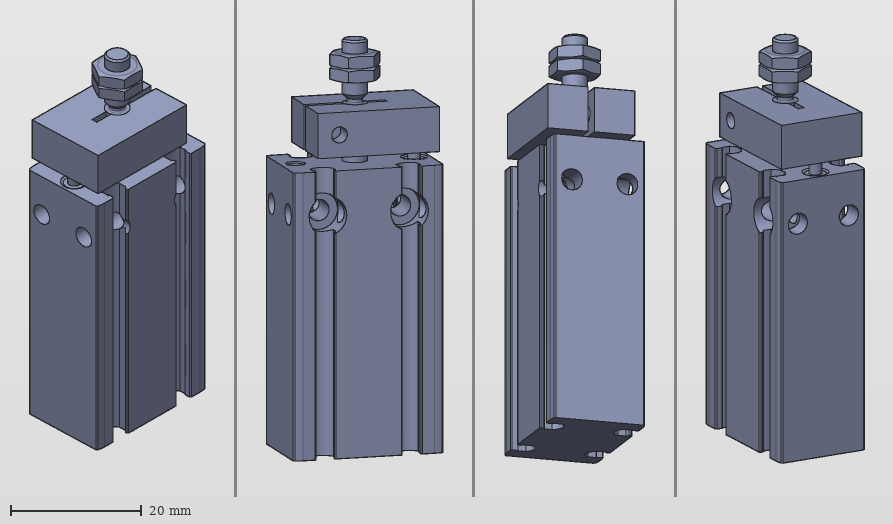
import cadquery as cq
import math


total_height = 64
housing_height = 45.0
plate_bottom = 47.0
plate_top = 54.0
nuts_top = 61.95
nut_thickness = 2.2

housing_width = 15.0
housing_length = 24.0
corner_chamfer = 0.25
side_arc_radius = 5.0
side_arc_start = 10.5
mount_z = 38.0
mount_hole_diameter = 3.3
front_hole_x = 4.5
side_hole_y = 6.5
side_counterbore_diameter = 6.0
side_counterbore_depth = 5.0

channel_y = 6.9
channel_mouth_width = 3.0
channel_mouth_chamfer = 0.2
channel_inner_lip = 0.5
channel_outer_lip = 1.15
channel_outer_undercut = 0.2
channel_inner_undercut = 0.4
channel_bore_diameter = 4.15
channel_bore_depth = 1.3

guide_y = 9.5
guide_rod_diameter = 2.0
countersink_depth = 0.2
front_countersink_diameter = 4.15
front_countersink_floor = 3.4
back_countersink_diameter = 3.0
back_countersink_floor = 2.5
guide_rod_bottom = 25.0
guide_plate_depth = 3.5

rod_diameter = 4.0
rod_bottom = 25.0
rod_tip_chamfer = 0.3
neck_diameter = 2.4
neck_fillet = 0.2
thread_bottom = 55.5

plate_width = 14.1
plate_front_y = -11.45
plate_back_y = 8.0
slot_width = 1.0
slot_front_y = -5.0

screw_diameter = 2.5
screw_y = 4.55
screw_z = (plate_bottom + plate_top) / 2
screw_recess = 3.5

nut_count = 2
nut_sides = 6
nut_across_flats = 7.0
nut_face_diameter = 6.0
nut_chamfer_angle = 15


def vertical_cylinder(diameter, bottom, top, y=0):
    return cq.Workplane("XY", origin=(0, y, bottom)).circle(diameter / 2).extrude(top - bottom)


def housing_blank():
    """Rectangular column whose long sides curve inward near the chamfered corners."""
    half_width = housing_width / 2
    half_length = housing_length / 2
    chamfer_y = half_length - corner_chamfer

    def arc_x(y):
        run = y - side_arc_start
        return half_width - side_arc_radius + math.sqrt(side_arc_radius**2 - run**2)

    arc_middle_y = (side_arc_start + chamfer_y) / 2
    arc_middle_x = arc_x(arc_middle_y)
    arc_end_x = arc_x(chamfer_y)
    end_x = arc_end_x - corner_chamfer
    return (
        cq.Workplane("XY")
        .moveTo(half_width, -side_arc_start)
        .lineTo(half_width, side_arc_start)
        .threePointArc((arc_middle_x, arc_middle_y), (arc_end_x, chamfer_y))
        .lineTo(end_x, half_length)
        .lineTo(-end_x, half_length)
        .lineTo(-arc_end_x, chamfer_y)
        .threePointArc((-arc_middle_x, arc_middle_y), (-half_width, side_arc_start))
        .lineTo(-half_width, -side_arc_start)
        .threePointArc((-arc_middle_x, -arc_middle_y), (-arc_end_x, -chamfer_y))
        .lineTo(-end_x, -half_length)
        .lineTo(end_x, -half_length)
        .lineTo(arc_end_x, -chamfer_y)
        .threePointArc((arc_middle_x, -arc_middle_y), (half_width, -side_arc_start))
        .close()
        .extrude(housing_height)
    )


def sensor_channel():
    """Channel in the -X, +Y place, with a lip on both sides of its mouth and a round bottom."""
    half_mouth = channel_mouth_width / 2
    half_entry = half_mouth + channel_mouth_chamfer
    radius = channel_bore_diameter / 2
    outer_wall = half_mouth + channel_outer_undercut
    inner_wall = half_mouth + channel_inner_undercut
    outer_wall_end = channel_bore_depth + math.sqrt(radius**2 - outer_wall**2)
    inner_wall_end = channel_bore_depth + math.sqrt(radius**2 - inner_wall**2)
    return (
        cq.Workplane("XY", origin=(-housing_width / 2, channel_y, 0))
        .moveTo(0, half_entry)
        .lineTo(channel_mouth_chamfer, half_mouth)
        .lineTo(channel_outer_lip, half_mouth)
        .lineTo(channel_outer_lip, outer_wall)
        .lineTo(outer_wall_end, outer_wall)
        .threePointArc((channel_bore_depth + radius, 0), (inner_wall_end, -inner_wall))
        .lineTo(channel_inner_lip + channel_inner_undercut, -inner_wall)
        .lineTo(channel_inner_lip, -half_mouth)
        .lineTo(channel_mouth_chamfer, -half_mouth)
        .lineTo(0, -half_entry)
        .close()
        .extrude(housing_height)
    )


def cut_sensor_channels(housing):
    channel = sensor_channel()
    far_channel = channel.mirror("YZ")
    for half in (channel, far_channel):
        housing = housing.cut(half).cut(half.mirror("XZ"))
    return housing


def countersink(rim_diameter, floor_diameter, y):
    """Shallow flat-bottomed recess with a conical wall in the top of the housing."""
    base = cq.Vector(0, y, housing_height - countersink_depth)
    return cq.Workplane(cq.Solid.makeCone(floor_diameter / 2, rim_diameter / 2, countersink_depth, base))


def cut_mounting_holes(housing):
    """Counterbored holes along X and plain holes along Y, which cross near the housing top."""
    for y in (-side_hole_y, side_hole_y):
        side_face = cq.Workplane("YZ", origin=(-housing_width / 2, y, mount_z))
        housing = housing.cut(side_face.circle(mount_hole_diameter / 2).extrude(housing_width))
        housing = housing.cut(side_face.circle(side_counterbore_diameter / 2).extrude(side_counterbore_depth))
    for x in (-front_hole_x, front_hole_x):
        back_face = cq.Workplane("XZ", origin=(x, housing_length / 2, mount_z))
        housing = housing.cut(back_face.circle(mount_hole_diameter / 2).extrude(housing_length))
    return housing


def make_housing(piston_rod, guide_rod):
    housing = cut_sensor_channels(housing_blank())
    housing = cut_mounting_holes(housing)
    housing = housing.cut(countersink(front_countersink_diameter, front_countersink_floor, -guide_y))
    housing = housing.cut(countersink(back_countersink_diameter, back_countersink_floor, guide_y))
    return housing.cut(piston_rod).cut(guide_rod)


def make_piston_rod():
    """Rod with a shoulder at the plate top, a filleted neck and a threaded end."""
    radius = rod_diameter / 2
    neck_radius = neck_diameter / 2
    neck_top = thread_bottom - (radius - neck_radius)
    fillet_middle = neck_fillet * (1 - math.sqrt(0.5))
    profile = (
        cq.Workplane("XZ")
        .moveTo(0, rod_bottom)
        .lineTo(radius, rod_bottom)
        .lineTo(radius, plate_top)
        .lineTo(neck_radius + neck_fillet, plate_top)
        .threePointArc(
            (neck_radius + fillet_middle, plate_top + fillet_middle),
            (neck_radius, plate_top + neck_fillet),
        )
        .lineTo(neck_radius, neck_top)
        .lineTo(radius, thread_bottom)
        .lineTo(radius, total_height - rod_tip_chamfer)
        .lineTo(radius - rod_tip_chamfer, total_height)
        .lineTo(0, total_height)
        .close()
    )
    return profile.revolve(360, (0, 0), (0, 1))


def make_guide_rod():
    return vertical_cylinder(guide_rod_diameter, guide_rod_bottom, plate_bottom + guide_plate_depth, -guide_y)


def make_clamp_screw():
    length = plate_width - 2 * screw_recess
    return cq.Workplane("YZ", origin=(-length / 2, screw_y, screw_z)).circle(screw_diameter / 2).extrude(length)


def plate_block(width, front_y, back_y):
    """Block of the plate's full thickness, centred on X = 0."""
    return (
        cq.Workplane("XY", origin=(0, (front_y + back_y) / 2, plate_bottom))
        .rect(width, back_y - front_y)
        .extrude(plate_top - plate_bottom)
    )


def make_clamp_plate(piston_rod, guide_rod, clamp_screw):
    """Block with a clamping slot that runs from the back edge past the piston rod."""
    block = plate_block(plate_width, plate_front_y, plate_back_y)
    slot = plate_block(slot_width, slot_front_y, plate_back_y)
    recess = (
        cq.Workplane("YZ", origin=(-plate_width / 2, screw_y, screw_z))
        .circle(screw_diameter / 2)
        .extrude(screw_recess)
    )
    return block.cut(slot).cut(recess).cut(piston_rod).cut(guide_rod).cut(clamp_screw)


def make_nut(bottom):
    """Hex nut, corners along Y, with both faces chamfered down to a round land."""
    corner_radius = nut_across_flats / 2 / math.cos(math.pi / nut_sides)
    face_radius = nut_face_diameter / 2
    drop = (corner_radius - face_radius) * math.tan(math.radians(nut_chamfer_angle))
    hexagon = (
        cq.Workplane("XY", origin=(0, 0, bottom))
        .polygon(nut_sides, 2 * corner_radius)
        .extrude(nut_thickness)
        .rotate((0, 0, 0), (0, 0, 1), 90)
    )
    envelope = (
        cq.Workplane("XZ", origin=(0, 0, bottom))
        .polyline([
            (0, 0),
            (face_radius, 0),
            (corner_radius, drop),
            (corner_radius, nut_thickness - drop),
            (face_radius, nut_thickness),
            (0, nut_thickness),
        ])
        .close()
        .revolve(360, (0, 0), (0, 1))
    )
    bore = vertical_cylinder(rod_diameter, bottom, bottom + nut_thickness)
    return hexagon.intersect(envelope).cut(bore)


piston_rod = make_piston_rod()
guide_rod = make_guide_rod()
clamp_screw = make_clamp_screw()
housing = make_housing(piston_rod, guide_rod)
clamp_plate = make_clamp_plate(piston_rod, guide_rod, clamp_screw)
nuts = [make_nut(nuts_top - count * nut_thickness) for count in range(1, nut_count + 1)]

result = cq.Compound.makeCompound([
    housing.val(),
    clamp_plate.val(),
    piston_rod.val(),
    guide_rod.val(),
    clamp_screw.val(),
    *[nut.val() for nut in nuts],
])